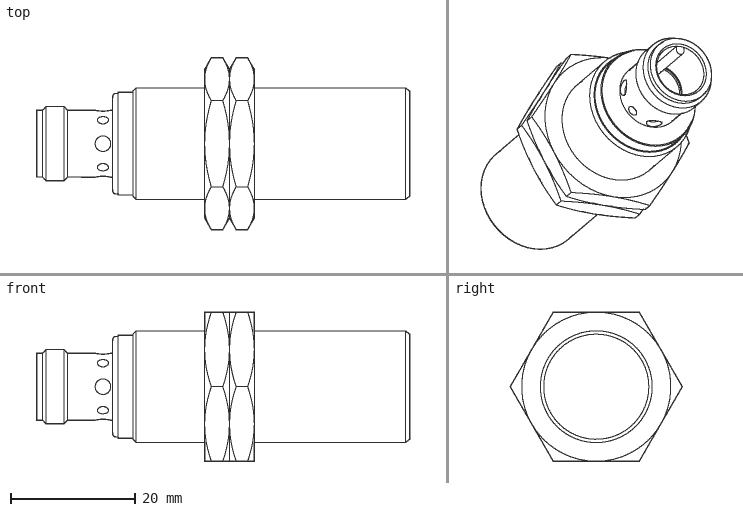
import cadquery as cq
import math

total_length = 60.0
collar_start = 1.5
collar_end = 4.4
collar_chamfer = 0.55
shoulder_start = 12.15
shoulder_rim_start = 12.25
shoulder_step = 13.1
barrel_start = 15.46
barrel_chamfer = 0.54
end_chamfer = 0.7

neck_radius = 10.8 / 2
collar_radius = 12.0 / 2
shoulder_face_radius = 14.0 / 2
shoulder_radius = 16.2 / 2
relief_radius = 16.6 / 2
barrel_radius = 18.0 / 2
barrel_end_radius = 16.92 / 2
shoulder_fillet = 0.5

bore_radius = 8.3 / 2
bore_mouth_radius = 8.9 / 2
bore_depth = 9.0
seat_radius = 7.9 / 2
seat_depth = 0.5
key_radius = 0.65
key_centre_height = 3.45

neck_hole_station = 10.65
window_diameter = 2.5
window_depth = 0.8
dimple_mouth_radius = 1.78 / 2
dimple_seat_radius = 1.35 / 2
dimple_seat_depth = 0.22
dimple_tip_depth = 0.6
holes_per_ring = 4
cutter_overrun = 0.5

nut_count = 2
nut_width = 24.0
nut_thickness = 4.0
nut_start = 27.0
nut_chamfer_angle = 30.0


def turned(points):
    """Revolve a closed (x, radius) outline about the X axis."""
    return cq.Workplane("XY").polyline(points).close().revolve(360, (0, 0, 0), (1, 0, 0))


def rod(start, length, radius, z=0.0):
    """Cylinder along X."""
    return cq.Workplane("YZ", origin=(start, 0, z)).circle(radius).extrude(length)


def window_cutter(angle):
    """Round window whose floor is concentric with the neck."""
    cutter = cq.Workplane("XY", origin=(neck_hole_station, 0, 0)).circle(window_diameter / 2)
    cutter = cutter.extrude(neck_radius + cutter_overrun)
    cutter = cutter.cut(rod(0, shoulder_start, neck_radius - window_depth))
    return cutter.rotate((0, 0, 0), (1, 0, 0), angle)


def dimple_cutter(angle):
    """Countersunk dimple with a rounded floor."""
    flare = (dimple_mouth_radius - dimple_seat_radius) / dimple_seat_depth
    cap_height = dimple_tip_depth - dimple_seat_depth
    cap_radius = (dimple_seat_radius**2 + cap_height**2) / (2 * cap_height)
    half_angle = math.asin(dimple_seat_radius / cap_radius) / 2
    cap_centre = neck_radius - dimple_tip_depth + cap_radius
    cap_midpoint = (cap_radius * math.sin(half_angle), cap_centre - cap_radius * math.cos(half_angle))
    top = neck_radius + cutter_overrun
    cutter = (
        cq.Workplane("XZ")
        .moveTo(0, neck_radius - dimple_tip_depth)
        .threePointArc(cap_midpoint, (dimple_seat_radius, neck_radius - dimple_seat_depth))
        .lineTo(dimple_mouth_radius + flare * cutter_overrun, top)
        .lineTo(0, top)
        .close()
        .revolve(360, (0, 0, 0), (0, 1, 0))
    )
    return cutter.translate((neck_hole_station, 0, 0)).rotate((0, 0, 0), (1, 0, 0), angle)


def make_socket():
    """Stepped bore with a chamfered mouth, less the key along its top."""
    mouth_chamfer = bore_mouth_radius - bore_radius
    socket = turned([
        (0, 0),
        (0, bore_mouth_radius),
        (mouth_chamfer, bore_radius),
        (bore_depth, bore_radius),
        (bore_depth, seat_radius),
        (bore_depth + seat_depth, seat_radius),
        (bore_depth + seat_depth, 0),
    ])
    key_length = bore_depth + seat_depth - mouth_chamfer
    key = rod(mouth_chamfer, key_length, key_radius, z=key_centre_height)
    key_web = cq.Workplane("XY").box(key_length, 2 * key_radius, bore_radius, centered=(False, True, False))
    key = key.union(key_web.translate((mouth_chamfer, 0, key_centre_height)))
    return socket.cut(key)


def make_sensor():
    """Turned sensor body with its connector socket and the ring of neck holes."""
    outline = [
        (0, 0),
        (0, neck_radius),
        (collar_start - collar_chamfer, neck_radius),
        (collar_start, collar_radius),
        (collar_end, collar_radius),
        (collar_end + collar_chamfer, neck_radius),
        (shoulder_start, neck_radius),
        (shoulder_start, shoulder_face_radius),
        (shoulder_rim_start, shoulder_radius),
        (shoulder_step, shoulder_radius),
        (shoulder_step, relief_radius),
        (barrel_start, relief_radius),
        (barrel_start, barrel_end_radius),
        (barrel_start + barrel_chamfer, barrel_radius),
        (total_length - end_chamfer, barrel_radius),
        (total_length, barrel_end_radius),
        (total_length, 0),
    ]
    body = turned(outline)
    rim = cq.selectors.NearestToPointSelector((shoulder_rim_start, 0, 0))
    body = body.edges(rim).fillet(shoulder_fillet)
    body = body.cut(make_socket())
    pitch_angle = 360 / holes_per_ring
    for index in range(holes_per_ring):
        angle = index * pitch_angle
        body = body.cut(window_cutter(angle))
        body = body.cut(dimple_cutter(angle + pitch_angle / 2))
    return body


def make_nut(start):
    """Hexagon nut with flats facing +Z and -Z, both faces chamfered at the corners."""
    corner_radius = nut_width / math.sqrt(3)
    flat_radius = nut_width / 2
    chamfer = (corner_radius - flat_radius) * math.tan(math.radians(nut_chamfer_angle))
    nut = cq.Workplane("YZ", origin=(start, 0, 0)).polygon(6, 2 * corner_radius).extrude(nut_thickness)
    crown = turned([
        (start, 0),
        (start, flat_radius),
        (start + chamfer, corner_radius),
        (start + nut_thickness - chamfer, corner_radius),
        (start + nut_thickness, flat_radius),
        (start + nut_thickness, 0),
    ])
    return nut.intersect(crown).cut(rod(start, nut_thickness, barrel_radius))


sensor = make_sensor()
nuts = [make_nut(nut_start + index * nut_thickness) for index in range(nut_count)]
result = cq.Compound.makeCompound([sensor.val(), *[nut.val() for nut in nuts]])